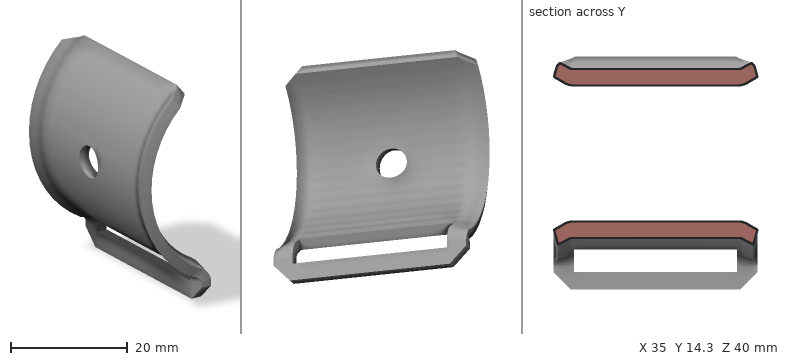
import cadquery as cq
import math

width = 35.0
thickness = 2.0
half_width = width / 2

outer_radius = 20.0
inner_radius = outer_radius - thickness
axis_y = 6.55
axis_z = 23.45
end_angle = 55.9

flare_angle = 21.5
flare_bend_radius = 1.0

slot_width = 28.0
slot_bottom = 3.0
bend_radius = 2.0
bar_chamfer = 3.0
bevel_cut_depth = 4 * thickness
bevel_start_x = 13.9
bend_sections = 6

hole_diameter = 5.6
hole_z = 23.1

bend_y = -thickness - bend_radius
bend_reach = outer_radius + bend_radius
bend_angle = math.degrees(math.acos((axis_y - bend_y) / bend_reach))
bend_z = axis_z - bend_reach * math.sin(math.radians(bend_angle))

flare = math.radians(flare_angle)
flare_bend_inner = flare_bend_radius + thickness
fold_length = flare_bend_radius * math.tan(flare / 2)
fold_x = 14.6
bend_start_x = fold_x - fold_length


def bend_point(radius, angle):
    """Point on the flange fold, whose centre lies outside the saddle."""
    center_y = -outer_radius - flare_bend_radius
    return (bend_start_x + radius * math.sin(angle), center_y + radius * math.cos(angle))


def mirrored(point):
    return (-point[0], point[1])


def saddle_profile():
    """Sheet cross-section, with flanges, at distance -Y from the saddle axis."""
    inner_mid = bend_point(flare_bend_inner, flare / 2)
    inner_end = bend_point(flare_bend_inner, flare)
    outer_mid = bend_point(flare_bend_radius, flare / 2)
    outer_end = bend_point(flare_bend_radius, flare)
    inner_tip = (half_width, inner_end[1] - (half_width - inner_end[0]) * math.tan(flare))
    outer_tip = (
        half_width - thickness * math.sin(flare),
        inner_tip[1] - thickness * math.cos(flare),
    )
    return (
        cq.Workplane("XY")
        .moveTo(-bend_start_x, -inner_radius)
        .lineTo(bend_start_x, -inner_radius)
        .threePointArc(inner_mid, inner_end)
        .lineTo(*inner_tip)
        .lineTo(*outer_tip)
        .lineTo(*outer_end)
        .threePointArc(outer_mid, (bend_start_x, -outer_radius))
        .lineTo(-bend_start_x, -outer_radius)
        .threePointArc(mirrored(outer_mid), mirrored(outer_end))
        .lineTo(*mirrored(outer_tip))
        .lineTo(*mirrored(inner_tip))
        .lineTo(*mirrored(inner_end))
        .threePointArc(mirrored(inner_mid), (-bend_start_x, -inner_radius))
        .close()
    )


def turn(body, angle):
    """Rotate about the X axis; positive angles carry -Y toward -Z."""
    return body.rotate((0, 0, 0), (1, 0, 0), angle)


def make_saddle():
    sweep = end_angle + bend_angle
    body = turn(saddle_profile().revolve(sweep, (0, 0, 0), (1, 0, 0)), -end_angle)

    slot = cq.Workplane("XY").box(
        slot_width, 2 * outer_radius, outer_radius, centered=(True, True, False)
    )
    slot = slot.translate((0, -outer_radius, -outer_radius))
    body = body.cut(turn(slot, end_angle))

    for side in (-1, 1):
        corner = (
            cq.Workplane("XZ")
            .polyline([
                (-half_width, half_width),
                (width, half_width),
                (width, -width),
            ])
            .close()
            .extrude(bevel_cut_depth, both=True)
            .rotate((0, 0, 0), (0, 0, 1), -flare_angle)
            .translate((bevel_start_x, -outer_radius, 0))
        )
        if side < 0:
            corner = corner.mirror("YZ")
        body = body.cut(turn(corner, -end_angle))
    return body.translate((0, axis_y, axis_z))


def ear_section(fraction):
    """Ear cross-section part-way round the bend; its flange flattens toward the bar."""
    tilt = flare * (1 - fraction)
    outer_fold_x = fold_x
    inner_fold_x = outer_fold_x + thickness * math.tan(tilt / 2)
    near = bend_radius
    far = bend_radius + thickness
    tip_drop = (half_width - inner_fold_x) * math.tan(tilt)
    points = [
        (slot_width / 2, near),
        (outer_fold_x, near),
        (half_width - thickness * math.sin(tilt), far - tip_drop - thickness * math.cos(tilt)),
        (half_width, far - tip_drop),
        (inner_fold_x, far),
        (slot_width / 2, far),
    ]
    angle = math.radians(bend_angle * (1 - fraction))
    vertices = [
        cq.Vector(x, bend_y + r * math.cos(angle), bend_z + r * math.sin(angle))
        for x, r in points
    ]
    return cq.Wire.makePolygon(vertices, close=True)


def make_ear():
    sections = [ear_section(i / (bend_sections - 1)) for i in range(bend_sections)]
    return cq.Workplane(obj=cq.Solid.makeLoft(sections, False))


def make_bar():
    bar = cq.Workplane("XY").box(width, thickness, bend_z, centered=(True, False, False))
    bar = bar.translate((0, -thickness, 0))
    bar = bar.edges("|Y and <Z").chamfer(bar_chamfer)
    slot = cq.Workplane("XY").box(slot_width, 3 * thickness, bend_z, centered=(True, True, False))
    return bar.cut(slot.translate((0, 0, slot_bottom)))


def make_hole():
    """Hole that was round before bending, so its height grows with distance from the axis."""
    middle_radius = (inner_radius + outer_radius) / 2
    cutter = cq.Workplane("XZ", origin=(0, axis_y, hole_z)).workplane(offset=inner_radius - thickness)
    start_scale = (inner_radius - thickness) / middle_radius
    end_scale = (outer_radius + thickness) / middle_radius
    hole_radius = hole_diameter / 2
    return (
        cutter.ellipse(hole_radius, hole_radius * start_scale)
        .workplane(offset=outer_radius - inner_radius + 2 * thickness)
        .ellipse(hole_radius, hole_radius * end_scale)
        .loft(ruled=True)
    )


ear = make_ear()
result = make_saddle().union(make_bar()).union(ear).union(ear.mirror("YZ"))
result = result.cut(make_hole())